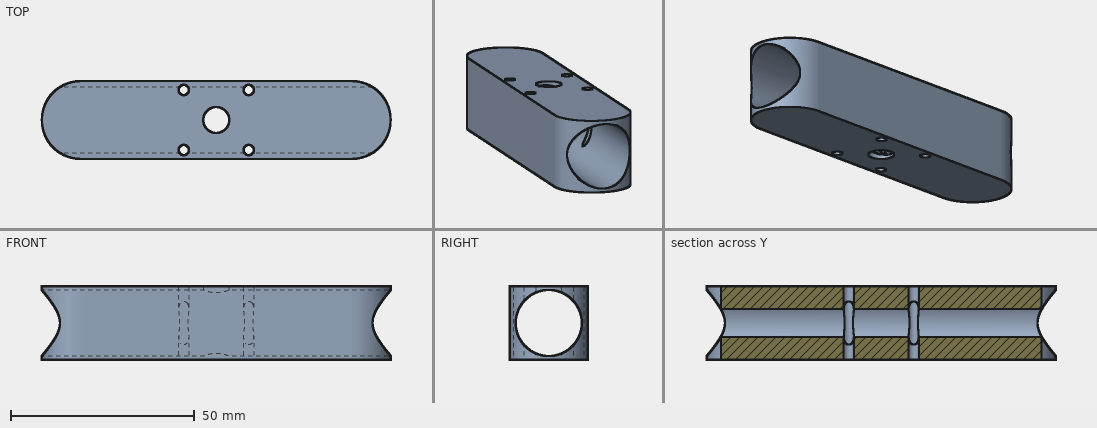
import cadquery as cq

length = 95.0
width = 21.3
height = 20.0

bore_diameter = 18.0

center_hole_diameter = 7.0
screw_hole_diameter = 2.8
screw_spacing_x = 17.7
screw_spacing_y = 16.3

bottom_plane = cq.Workplane("XY", origin=(0, 0, -height / 2))
end_plane = cq.Workplane("YZ", origin=(-length / 2, 0, 0))

body = bottom_plane.slot2D(length, width).extrude(height)

bore = end_plane.circle(bore_diameter / 2).extrude(length)

center_hole = bottom_plane.circle(center_hole_diameter / 2).extrude(height)
screw_holes = (
    bottom_plane
    .rect(screw_spacing_x, screw_spacing_y, forConstruction=True)
    .vertices()
    .circle(screw_hole_diameter / 2)
    .extrude(height)
)

result = body.cut(bore).cut(center_hole).cut(screw_holes)